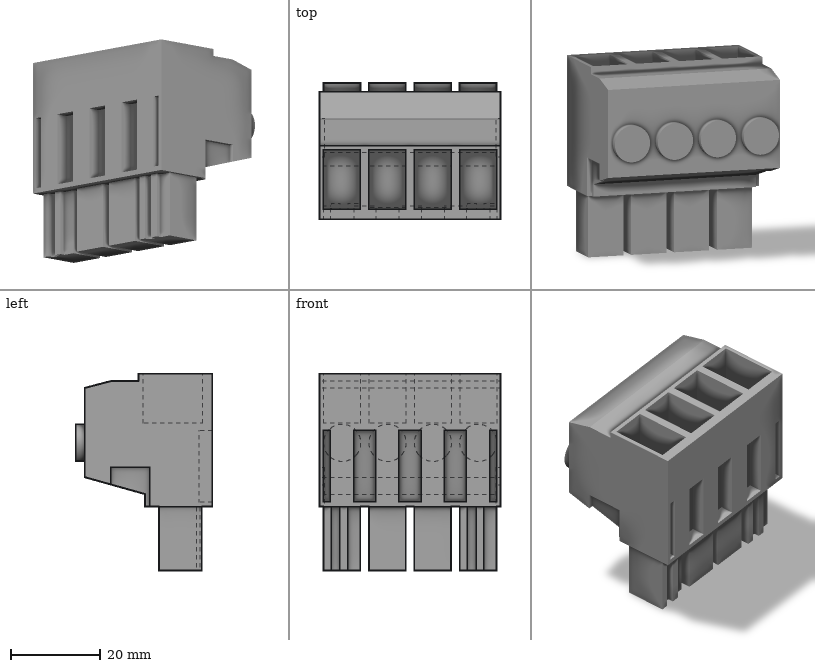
import cadquery as cq

POLE_COUNT = 4
HOUSING_WIDTH = 40.65
PITCH = HOUSING_WIDTH / POLE_COUNT
WALL = 0.93
POLE_WIDTH = PITCH - 2 * WALL

TOTAL_HEIGHT = 44.1
HOUSING_BOTTOM = 14.35
HOUSING_DEPTH = 28.6
TOP_BLOCK_DEPTH = 16.55
LEDGE_HEIGHT = 42.5
LEDGE_DEPTH = 22.6
REAR_TOP = 40.92
REAR_BOTTOM = 20.9
UNDERCUT_DEPTH = 15.1
UNDERCUT_HEIGHT = 17.1

POCKET_FRONT = 2.3
POCKET_BACK = 15.6
POCKET_DEPTH = 11.02

SLOT_WIDTH = 4.95
SLOT_BOTTOM = 15.45
SLOT_TOP = 31.4
SLOT_DEPTH = 3.05

REBATE_FRONT = 14.02
REBATE_BACK = 22.7
REBATE_TOP = 23.1
REBATE_DEPTH = 1.1

OUTER_LEG_FRONT = 2.35
INNER_LEG_FRONT = 2.8
LEG_BACK = 12.0

CODING_DEPTH = 1.3
CHANNEL_START = 1.7
RIB_START = 3.7
RIB_END = 5.45

SCREW_HEIGHT = 28.65
SCREW_LENGTH = 2.0
SCREW_DIAMETER = 8.35


def box_between(x_range, y_range, z_range):
    """Box spanning the given (low, high) range along each axis."""
    lows, highs = zip(x_range, y_range, z_range)
    size = [high - low for low, high in zip(lows, highs)]
    return cq.Workplane("XY").box(*size, centered=False).translate(lows)


def pole_range(index):
    """Range along X of one pole, between its two walls."""
    left = index * PITCH + WALL
    return left, left + POLE_WIDTH


def housing_block():
    profile = [
        (0, HOUSING_BOTTOM),
        (UNDERCUT_DEPTH, HOUSING_BOTTOM),
        (UNDERCUT_DEPTH, UNDERCUT_HEIGHT),
        (HOUSING_DEPTH, REAR_BOTTOM),
        (HOUSING_DEPTH, REAR_TOP),
        (LEDGE_DEPTH, LEDGE_HEIGHT),
        (TOP_BLOCK_DEPTH, LEDGE_HEIGHT),
        (TOP_BLOCK_DEPTH, TOTAL_HEIGHT),
        (0, TOTAL_HEIGHT),
    ]
    return cq.Workplane("YZ").polyline(profile).close().extrude(HOUSING_WIDTH)


def top_pocket(index):
    return box_between(
        pole_range(index),
        (POCKET_FRONT, POCKET_BACK),
        (TOTAL_HEIGHT - POCKET_DEPTH, TOTAL_HEIGHT),
    )


def front_slot(boundary):
    """Slot on a pole boundary; the end slots stop at the side walls."""
    centre = boundary * PITCH
    left = max(centre - SLOT_WIDTH / 2, WALL)
    right = min(centre + SLOT_WIDTH / 2, HOUSING_WIDTH - WALL)
    return box_between((left, right), (0, SLOT_DEPTH), (SLOT_BOTTOM, SLOT_TOP))


def side_rebate(left):
    return box_between(
        (left, left + REBATE_DEPTH),
        (REBATE_FRONT, REBATE_BACK),
        (HOUSING_BOTTOM, REBATE_TOP),
    )


def leg(index, front):
    return box_between(pole_range(index), (front, LEG_BACK), (0, HOUSING_BOTTOM))


def coded_leg(index):
    """Leg whose front is cut back beside a rib, leaving a channel and an open step."""
    body = leg(index, OUTER_LEG_FRONT)
    left, right = pole_range(index)
    depth_range = (OUTER_LEG_FRONT, OUTER_LEG_FRONT + CODING_DEPTH)
    height_range = (0, HOUSING_BOTTOM)
    channel = box_between((left + CHANNEL_START, left + RIB_START), depth_range, height_range)
    step = box_between((left + RIB_END, right), depth_range, height_range)
    return body.cut(channel).cut(step)


def make_housing():
    housing = housing_block()
    for index in range(POLE_COUNT):
        housing = housing.cut(top_pocket(index))
    for boundary in range(POLE_COUNT + 1):
        housing = housing.cut(front_slot(boundary))
    for left in (0, HOUSING_WIDTH - REBATE_DEPTH):
        housing = housing.cut(side_rebate(left))
    for index in range(POLE_COUNT):
        is_outer = index in (0, POLE_COUNT - 1)
        new_leg = coded_leg(index) if is_outer else leg(index, INNER_LEG_FRONT)
        housing = housing.union(new_leg)
    return housing.solids()


def make_screw(index):
    """Round screw head standing on the rear face, centred on its pole."""
    centre = (index + 0.5) * PITCH
    base = cq.Workplane("XZ", origin=(centre, HOUSING_DEPTH, SCREW_HEIGHT))
    return base.circle(SCREW_DIAMETER / 2).extrude(-SCREW_LENGTH)


housing = make_housing()
screws = [make_screw(index) for index in range(POLE_COUNT)]

result = cq.Compound.makeCompound([housing.val(), *[screw.val() for screw in screws]])